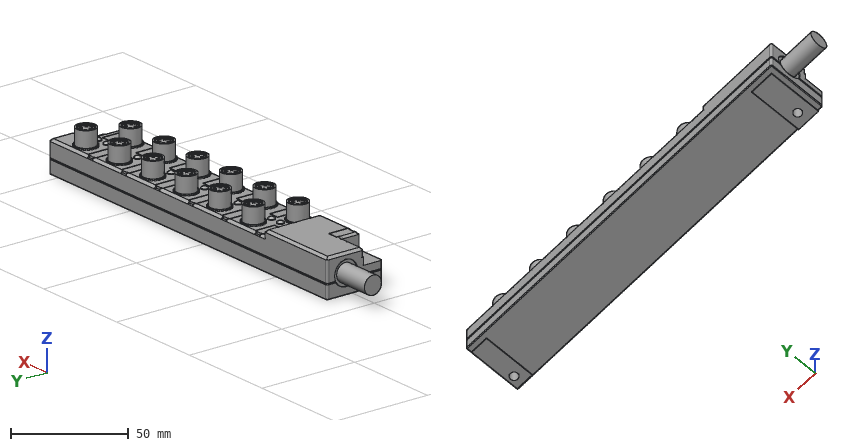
import cadquery as cq

length = 210.0
width = 30.0
height = 25.6

front_y = -width / 2
housing_start = 18.5
gate_mark_length = 0.6
housing_end = length - gate_mark_length
foot_height = 0.6
deck_z = 17.0
cover_z = 20.2
cover_end = 61.0
edge_chamfer = 1.3
bottom_chamfer = 0.5
start_corner_radius = 1.0
end_corner_radius = 0.8

seam_z = 7.5
seam_height = 0.6
seam_depth = 0.2
gate_mark_diameter = 1.0

ledge_z = 12.0
start_ledge_end = 34.5
start_ledge_back_y = -4.8
end_ledge_start = 199.5
end_ledge_back_y = 1.7
ledge_corner_radius = 1.5
screw_hole_diameter = 4.2
screw_hole_y = -9.0
screw_hole_xs = (28.0, 205.0)

foot_back_y = 12.2
start_foot_x = (21.5, 33.8)
end_foot_x = (199.5, 208.9)
end_foot_setback = 0.6

cable_diameter = 9.2
cable_y = 4.6
cable_z = 10.7
gland_diameter = 12.4
gland_depth = 0.6

socket_count = 6
row_span = 115.0
pitch = row_span / (socket_count - 1)
row_y = 8.2
front_row_x = 67.8
back_row_x = 77.7

barrel_diameter = 9.9
flange_diameter = 11.3
flange_height = 0.6
flange_notch_count = 20
flange_notch_depth = 0.6
flange_notch_width = 0.8
key_width = 1.0
pin_hole_diameter = 1.0
pin_hole_depth = 3.1
pin_hole_count = 4
pin_circle_diameter = 3.8
first_pin_angle = 45

bore_steps = ((8.2, 0.2), (7.1, 0.5), (5.7, 0.6))

label_width = 5.2
label_length = 10.3
label_depth = 0.2
label_notch_width = 3.1
label_outer_y = width / 2 - edge_chamfer
front_label_x = 78.5
back_label_x = 66.5
cover_label_x = 38.0

lamp_diameter = 3.4
lamp_base_height = 0.5
lamp_dome_height = 0.8
lamp_spacing = 6.0
first_lamp_x = 69.5
last_lamp_group_x = 182.6
last_lamp_group_count = 3


def block(x_range, y_range, z_range):
    """Box between the given limits on each axis."""
    (x0, x1), (y0, y1), (z0, z1) = x_range, y_range, z_range
    return cq.Workplane("XY").box(x1 - x0, y1 - y0, z1 - z0, centered=False).translate((x0, y0, z0))


def cylinder(diameter, bottom_z, top_z):
    """Upright cylinder on the Z axis."""
    return cq.Workplane("XY").workplane(offset=bottom_z).circle(diameter / 2).extrude(top_z - bottom_z)


def along_x(diameter, y, z, start_x, end_x):
    """Cylinder lying along X."""
    plane = cq.Workplane("YZ", origin=(start_x, y, z))
    return plane.circle(diameter / 2).extrude(end_x - start_x)


def make_housing():
    side_y = (front_y, -front_y)
    overrun = 2.0
    above = (ledge_z, cover_z + overrun)
    start_ledge = block(
        (housing_start - overrun, start_ledge_end), (front_y - overrun, start_ledge_back_y), above
    ).edges("|Z and >X and >Y").fillet(ledge_corner_radius)
    end_ledge = block(
        (end_ledge_start, housing_end + overrun), (front_y - overrun, end_ledge_back_y), above
    ).edges("|Z and <X and >Y").fillet(ledge_corner_radius)

    base = block((housing_start, housing_end), side_y, (foot_height, deck_z))
    base = base.edges("|Z and <X").fillet(start_corner_radius)
    base = base.cut(start_ledge).cut(end_ledge)
    base = base.faces(">Z").edges().chamfer(edge_chamfer)
    base = base.edges("|Z and >X").fillet(end_corner_radius)
    base = base.faces("<Z").edges().chamfer(bottom_chamfer)

    cover = block((housing_start, cover_end), side_y, (ledge_z, cover_z))
    cover = cover.cut(start_ledge)
    cover = cover.faces(">Z").edges().chamfer(edge_chamfer)
    cover = cover.edges("|Z and <X").fillet(start_corner_radius)
    return base.union(cover)


def make_seam():
    """Shallow groove around the housing sides."""
    middle = ((housing_start + housing_end) / 2, 0)
    long_side = housing_end - housing_start
    outer = cq.Workplane("XY", origin=(*middle, seam_z)).rect(2 * long_side, 2 * width).extrude(seam_height)
    core = (
        cq.Workplane("XY", origin=(*middle, seam_z))
        .rect(long_side - 2 * seam_depth, width - 2 * seam_depth)
        .extrude(seam_height)
        .edges("|Z and <X").fillet(start_corner_radius - seam_depth)
        .edges("|Z and >X").fillet(end_corner_radius - seam_depth)
    )
    return outer.cut(core)


def make_socket():
    """Socket standing on the deck at X = Y = 0, with its key towards the front."""
    flange = cylinder(flange_diameter, deck_z, deck_z + flange_height)
    notches = (
        cq.Workplane("XY", origin=(0, 0, deck_z))
        .polarArray(flange_diameter / 2, 0, 360, flange_notch_count)
        .rect(2 * flange_notch_depth, flange_notch_width)
        .extrude(flange_height)
    )
    socket = flange.cut(notches).union(cylinder(barrel_diameter, deck_z, height))
    for diameter, depth in bore_steps:
        socket = socket.cut(cylinder(diameter, height - depth, height))

    bore_diameter = bore_steps[0][0]
    contact_z = height - bore_steps[-1][1]
    pin_holes = (
        cq.Workplane("XY", origin=(0, 0, contact_z - pin_hole_depth))
        .polarArray(pin_circle_diameter / 2, first_pin_angle, 360, pin_hole_count)
        .circle(pin_hole_diameter / 2)
        .extrude(pin_hole_depth)
    )
    key_slot = block((-key_width / 2, key_width / 2), (-bore_diameter / 2, 0), (contact_z, height))
    return socket.cut(pin_holes).cut(key_slot)


def cut_label(housing, x, top_z, side):
    """Recess a label at x on the front (side -1) or back (side +1) edge and cut its notch."""
    notch = block(
        (x - label_notch_width / 2, x + label_notch_width / 2),
        (label_outer_y, width / 2),
        (top_z - edge_chamfer, top_z),
    )
    recess = block(
        (x - label_width / 2, x + label_width / 2),
        (label_outer_y - label_length, label_outer_y),
        (top_z - label_depth, top_z),
    )
    if side < 0:
        notch = notch.mirror("XZ")
        recess = recess.mirror("XZ")
    return housing.cut(notch).cut(recess)


def make_lamp():
    """Short round lamp with a domed top, standing on the deck at X = Y = 0."""
    base_radius = lamp_diameter / 2
    dome_radius = (base_radius**2 + lamp_dome_height**2) / (2 * lamp_dome_height)
    top_z = deck_z + lamp_base_height + lamp_dome_height
    ball = cq.Workplane("XY", origin=(0, 0, top_z - dome_radius)).sphere(dome_radius)
    return cylinder(lamp_diameter, deck_z, top_z).intersect(ball)


body = make_housing().cut(make_seam())

body = body.union(block(start_foot_x, (front_y, foot_back_y), (0, foot_height + bottom_chamfer)))
body = body.union(
    block(end_foot_x, (front_y + end_foot_setback, foot_back_y), (0, foot_height + bottom_chamfer))
)

for hole_x in screw_hole_xs:
    body = body.cut(cylinder(screw_hole_diameter, 0, ledge_z).translate((hole_x, screw_hole_y, 0)))

body = body.cut(along_x(gland_diameter, cable_y, cable_z, housing_start, housing_start + gland_depth))
body = body.union(along_x(cable_diameter, cable_y, cable_z, 0, housing_start + gland_depth))
body = body.union(along_x(gate_mark_diameter, 0, seam_z, housing_end - gate_mark_length, length))

body = cut_label(body, cover_label_x, cover_z, -1)
for index in range(socket_count):
    body = cut_label(body, front_label_x + index * pitch, deck_z, -1)
    body = cut_label(body, back_label_x + index * pitch, deck_z, 1)

socket = make_socket()
turned_socket = socket.rotate((0, 0, 0), (0, 0, 1), 180)
deck_parts = []
for index in range(socket_count):
    deck_parts.append(socket.translate((front_row_x + index * pitch, -row_y, 0)))
    deck_parts.append(turned_socket.translate((back_row_x + index * pitch, row_y, 0)))

lamp_xs = [last_lamp_group_x + index * lamp_spacing for index in range(last_lamp_group_count)]
for index in range(socket_count - 1):
    pair_x = first_lamp_x + index * pitch
    lamp_xs += [pair_x, pair_x + lamp_spacing]
lamp = make_lamp()
for lamp_x in lamp_xs:
    deck_parts.append(lamp.translate((lamp_x, 0, 0)))

result = cq.Workplane(obj=body.val().fuse(*[part.val() for part in deck_parts]))